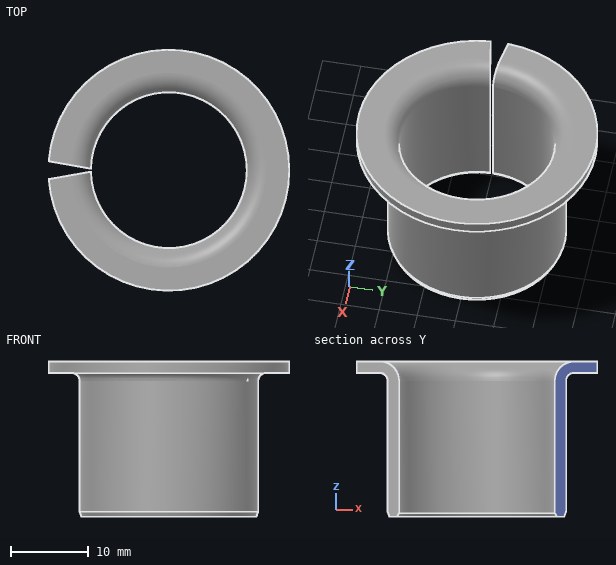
import cadquery as cq
import math

bore_radius = 10.0
wall_thickness = 1.5
flange_radius = 15.5
total_height = 20.0
throat_radius = 2.5
outer_chamfer_height = 0.7
outer_chamfer_angle = 20.0
bore_chamfer_height = 0.5
bore_chamfer_angle = 30.0
split_apex_radius = 9.0
split_half_angle = 10.0

sleeve_radius = bore_radius + wall_thickness
flange_underside = total_height - wall_thickness
outer_chamfer_depth = outer_chamfer_height * math.tan(math.radians(outer_chamfer_angle))
bore_chamfer_depth = bore_chamfer_height * math.tan(math.radians(bore_chamfer_angle))
bend_center_radius = bore_radius + throat_radius
bend_center_height = total_height - throat_radius
neck_radius = throat_radius - wall_thickness


def bend_midpoint(radius):
    """Midpoint of a quarter bend of the given radius, as (radial, height)."""
    offset = radius * math.cos(math.radians(45))
    return (bend_center_radius - offset, bend_center_height + offset)


def make_bushing():
    """Revolve the constant-wall sleeve and flange section around Z."""
    section = (
        cq.Workplane("XZ")
        .moveTo(bore_radius, bore_chamfer_height)
        .lineTo(bore_radius + bore_chamfer_depth, 0)
        .lineTo(sleeve_radius - outer_chamfer_depth, 0)
        .lineTo(sleeve_radius, outer_chamfer_height)
        .lineTo(sleeve_radius, bend_center_height)
        .threePointArc(bend_midpoint(neck_radius), (bend_center_radius, flange_underside))
        .lineTo(flange_radius, flange_underside)
        .lineTo(flange_radius, total_height)
        .lineTo(bend_center_radius, total_height)
        .threePointArc(bend_midpoint(throat_radius), (bore_radius, bend_center_height))
        .close()
    )
    bushing = section.revolve(360, (0, 0), (0, 1))
    return bushing.rotate((0, 0, 0), (0, 0, 1), 180)


def make_split():
    """Full-height wedge on the -X side that widens outward through wall and flange."""
    split_outer_radius = flange_radius + wall_thickness
    split_length = split_outer_radius - split_apex_radius
    outer_half_gap = split_length * math.tan(math.radians(split_half_angle))
    return (
        cq.Workplane("XY")
        .moveTo(-split_apex_radius, 0)
        .lineTo(-split_outer_radius, outer_half_gap)
        .lineTo(-split_outer_radius, -outer_half_gap)
        .close()
        .extrude(total_height)
    )


result = make_bushing().cut(make_split())